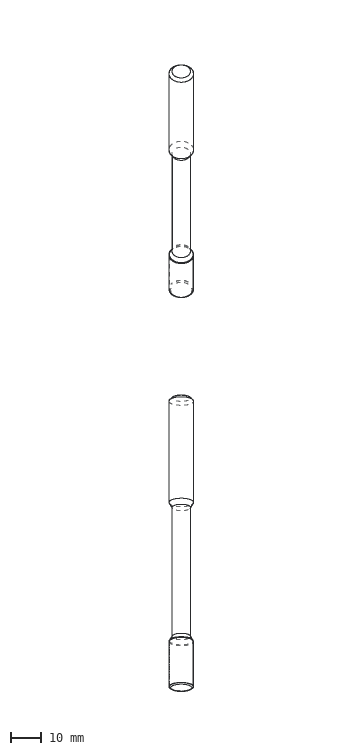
import cadquery as cq
import math

END_RADIUS = 8.0 / 2
CORE_RADIUS = 7.7 / 2
SHANK_RADIUS = 6.0 / 2

LENGTH = 100.0
UPPER_END_LENGTH = 36.0
LOWER_END_LENGTH = 16.0

TOP_CHAMFER = 1.0
BOTTOM_CHAMFER = 0.4
TAPER_ANGLE = 30.0
TAPER_LENGTH = (END_RADIUS - SHANK_RADIUS) / math.tan(math.radians(TAPER_ANGLE))

upper_shoulder_z = LENGTH - UPPER_END_LENGTH
shank_top_z = upper_shoulder_z - TAPER_LENGTH
shank_bottom_z = LOWER_END_LENGTH + TAPER_LENGTH

core_top_z = shank_bottom_z - (CORE_RADIUS - SHANK_RADIUS) / math.tan(math.radians(TAPER_ANGLE))


def revolved(profile):
    """Turn a closed (radius, height) outline about the Z axis."""
    return cq.Workplane("XZ").polyline(profile).close().revolve(360, (0, 0, 0), (0, 1, 0))


def make_rod():
    """Rod with a thick upper end, a slim shank and a core that carries the sleeve."""
    return revolved([
        (0, 0),
        (CORE_RADIUS - BOTTOM_CHAMFER, 0),
        (CORE_RADIUS, BOTTOM_CHAMFER),
        (CORE_RADIUS, core_top_z),
        (SHANK_RADIUS, shank_bottom_z),
        (SHANK_RADIUS, shank_top_z),
        (END_RADIUS, upper_shoulder_z),
        (END_RADIUS, LENGTH - TOP_CHAMFER),
        (END_RADIUS - TOP_CHAMFER, LENGTH),
        (0, LENGTH),
    ])


def make_sleeve():
    """Thin sleeve around the core, from the bottom chamfer up to the shoulder."""
    return revolved([
        (CORE_RADIUS, BOTTOM_CHAMFER),
        (END_RADIUS, BOTTOM_CHAMFER),
        (END_RADIUS, LOWER_END_LENGTH),
        (CORE_RADIUS, LOWER_END_LENGTH),
    ])


rod = make_rod()
sleeve = make_sleeve()

result = cq.Compound.makeCompound([rod.val(), sleeve.val()])